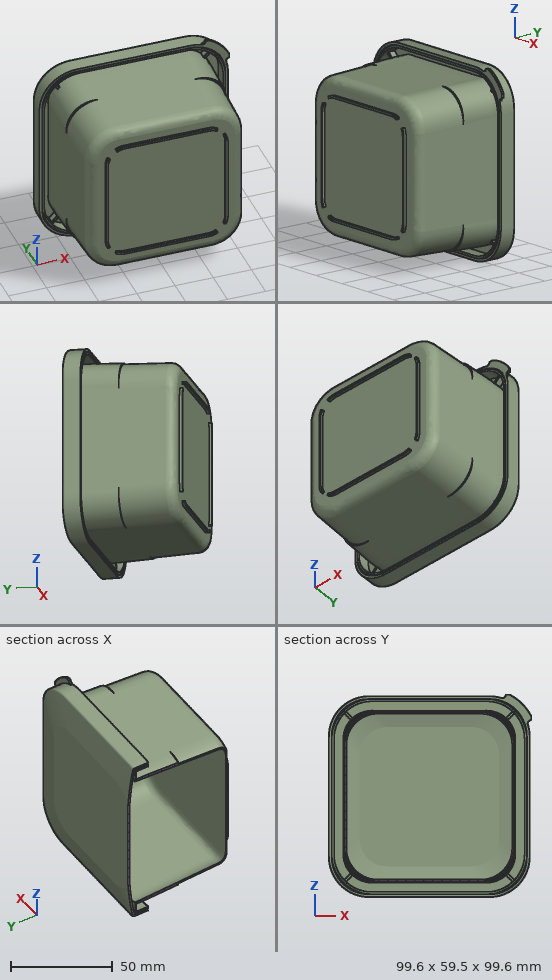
import cadquery as cq
import math


LONGEST_SIDE = 99.6
LID_WIDTH = 98.9
LID_CORNER_RADIUS = 19.9
LID_DEPTH = 12.0
LID_WALL = 1.4
LID_EDGE_FILLET = 1.1
LID_TOP_WIDTH = 68.5
CROWN_CORNER_RADIUS = 13.4
CROWN_BASE_Y = 8.9

TAB_THICKNESS = 1.2
TAB_ROOT = 34.4
TAB_HOLLOW = (36.6, 48.6)
TAB_TIP_START = 37.6
TAB_TIP_END = 39.6
TAB_BOW = 45.7
TAB_FILLET = 0.4

WALL = 1.1
MOUTH_WIDTH = 84.6
FOOT_WIDTH = 81.9
TUB_CORNER_RADIUS = 16.0
MOUTH_Y = 0.7
STEP_Y = -17.6
BASE_FILLET = 4.9
BASE_Y = -46.1
STACKING_BULGE = 0.8

SKIRT_GAP = 0.1
SKIRT_CORNER_RADIUS = 19.5
FLANGE_Y = 7.0
FLANGE_THICKNESS = 0.8
RIB_THICKNESS = 1.3
RIB_FRONT_Y = 3.2

SKIRT_WIDTH = LID_WIDTH - 2 * (LID_WALL + SKIRT_GAP)

RIDGE_SQUARE = 63.9
RIDGE_WIDTH = 1.1
RIDGE_HEIGHT = 1.4
RIDGE_CORNER_RADIUS = 10.0
RIDGE_END_ANGLE = 27.4


def plane_at(y):
    """Workplane facing -Y at the given Y, with local axes X and Z."""
    return cq.Workplane("XZ", origin=(0, y, 0))


def square_wire(y, width, radius, bulge=0.0):
    """Closed square outline whose corner arcs may bulge outwards along the diagonal."""
    half = width / 2
    straight = half - radius
    diagonal = straight + (radius + bulge) * math.sqrt(0.5)
    outline = plane_at(y).moveTo(-straight, half)
    for turn in range(4):
        angle = -math.pi / 2 * turn

        def turned(x, z):
            return (
                x * math.cos(angle) - z * math.sin(angle),
                x * math.sin(angle) + z * math.cos(angle),
            )

        outline = outline.lineTo(*turned(straight, half))
        outline = outline.threePointArc(turned(diagonal, diagonal), turned(half, straight))
    return outline.close().val()


def square_loft(start, end):
    """Solid with ruled sides between two square wires."""
    return cq.Workplane(cq.Solid.makeLoft([start, end], True))


def square_prism(y_start, y_end, width, radius, bulge=0.0):
    return square_loft(
        square_wire(y_start, width, radius, bulge),
        square_wire(y_end, width, radius, bulge),
    )


def tub_width(y):
    """Outer width of the tapered tub at the given Y."""
    taper = (MOUTH_WIDTH - FOOT_WIDTH) / (MOUTH_Y - (BASE_Y + BASE_FILLET))
    return MOUTH_WIDTH + taper * (y - MOUTH_Y)


def crown(shift):
    """Sloping block that shapes the top of the lid, moved by shift along Y."""
    slope = (LID_DEPTH - CROWN_BASE_Y) / (LID_WIDTH - LID_TOP_WIDTH)
    base_width = LID_TOP_WIDTH + LID_DEPTH / slope
    return square_loft(
        square_wire(shift, base_width, CROWN_CORNER_RADIUS),
        square_wire(LID_DEPTH + shift, LID_TOP_WIDTH, CROWN_CORNER_RADIUS),
    )


def make_tab():
    """Pull tab at the +X +Z corner, with its inner side buried in the lid."""
    reach = LONGEST_SIDE - LID_WIDTH / 2
    corner_centre = LID_WIDTH / 2 - LID_CORNER_RADIUS
    edge_rise = math.sqrt(LID_CORNER_RADIUS**2 - (TAB_ROOT - corner_centre) ** 2)
    root_height = corner_centre + edge_rise
    tab = (
        plane_at(TAB_THICKNESS)
        .moveTo(corner_centre, corner_centre)
        .lineTo(TAB_ROOT, root_height)
        .threePointArc(TAB_HOLLOW, (TAB_TIP_START, reach))
        .lineTo(TAB_TIP_END, reach)
        .threePointArc((TAB_BOW, TAB_BOW), (reach, TAB_TIP_END))
        .lineTo(reach, TAB_TIP_START)
        .threePointArc(TAB_HOLLOW[::-1], (root_height, TAB_ROOT))
        .close()
        .extrude(TAB_THICKNESS)
    )
    for tip in ((TAB_TIP_START, 0, reach), (reach, 0, TAB_TIP_START)):
        tab = tab.edges("|Y").edges(cq.NearestToPointSelector(tip)).fillet(TAB_FILLET)
    return tab


def make_lid():
    shell = square_prism(0, LID_DEPTH, LID_WIDTH, LID_CORNER_RADIUS).intersect(crown(0))
    shell = shell.faces("<X or >X or <Z or >Z").edges(">Y").fillet(LID_EDGE_FILLET)
    cavity = square_prism(
        0, LID_DEPTH, LID_WIDTH - 2 * LID_WALL, LID_CORNER_RADIUS - LID_WALL
    ).intersect(crown(-LID_WALL))
    return shell.union(make_tab()).cut(cavity)


def make_flange():
    """Flange around the mouth with a skirt hanging down inside the lid wall."""
    block = square_prism(0, FLANGE_Y + FLANGE_THICKNESS, SKIRT_WIDTH, SKIRT_CORNER_RADIUS)
    return block.cut(square_prism(0, FLANGE_Y, SKIRT_WIDTH - 2 * WALL, SKIRT_CORNER_RADIUS - WALL))


def make_ribs():
    """Two crossed diagonal plates that leave one rib in each corner under the flange."""
    skirt_diagonal = math.sqrt(2) * (SKIRT_WIDTH / 2 - SKIRT_CORNER_RADIUS) + SKIRT_CORNER_RADIUS
    length = 2 * skirt_diagonal - WALL
    plates = cq.Workplane()
    for angle in (45, -45):
        plate = cq.Workplane().box(length, FLANGE_Y - RIB_FRONT_Y, RIB_THICKNESS)
        plate = plate.rotate((0, 0, 0), (0, 1, 0), angle)
        plates = plates.add(plate.translate((0, (FLANGE_Y + RIB_FRONT_Y) / 2, 0)))
    return plates.combine()


def make_ridge():
    """Ridge along the +Z side of the base, turning into both corners."""
    half = RIDGE_SQUARE / 2
    centre = half - RIDGE_CORNER_RADIUS

    def arc_point(radius, degrees):
        angle = math.radians(degrees)
        return centre + radius * math.sin(angle), centre + radius * math.cos(angle)

    def mirrored(point):
        return -point[0], point[1]

    outer = RIDGE_CORNER_RADIUS
    inner = RIDGE_CORNER_RADIUS - RIDGE_WIDTH
    outer_mid = arc_point(outer, RIDGE_END_ANGLE / 2)
    outer_end = arc_point(outer, RIDGE_END_ANGLE)
    inner_mid = arc_point(inner, RIDGE_END_ANGLE / 2)
    inner_end = arc_point(inner, RIDGE_END_ANGLE)
    return (
        plane_at(BASE_Y)
        .moveTo(-centre, half)
        .lineTo(centre, half)
        .threePointArc(outer_mid, outer_end)
        .lineTo(*inner_end)
        .threePointArc(inner_mid, (centre, half - RIDGE_WIDTH))
        .lineTo(-centre, half - RIDGE_WIDTH)
        .threePointArc(mirrored(inner_mid), mirrored(inner_end))
        .lineTo(*mirrored(outer_end))
        .threePointArc(mirrored(outer_mid), (-centre, half))
        .close()
        .extrude(RIDGE_HEIGHT)
    )


def make_tub():
    top_y = FLANGE_Y + FLANGE_THICKNESS
    floor_y = BASE_Y + WALL
    radius = TUB_CORNER_RADIUS
    lower = square_loft(
        square_wire(BASE_Y, tub_width(BASE_Y), radius),
        square_wire(STEP_Y, tub_width(STEP_Y), radius),
    )
    lower = lower.faces("<Y").edges().fillet(BASE_FILLET)
    upper = square_loft(
        square_wire(STEP_Y, tub_width(STEP_Y), radius, STACKING_BULGE),
        square_wire(MOUTH_Y, MOUTH_WIDTH, radius, STACKING_BULGE),
    )
    neck = square_prism(MOUTH_Y, top_y, MOUTH_WIDTH, radius, STACKING_BULGE)
    cavity = square_loft(
        square_wire(floor_y, tub_width(floor_y) - 2 * WALL, radius - WALL),
        square_wire(top_y, tub_width(top_y) - 2 * WALL, radius - WALL),
    )
    cavity = cavity.faces("<Y").edges().fillet(BASE_FILLET - WALL)

    tub = lower.union(upper).union(neck).union(make_flange()).union(make_ribs()).cut(cavity)
    for quarter in range(4):
        tub = tub.union(make_ridge().rotate((0, 0, 0), (0, 1, 0), 90 * quarter))
    return tub


lid = make_lid()
tub = make_tub()
result = cq.Compound.makeCompound([lid.solids().val(), tub.solids().val()])